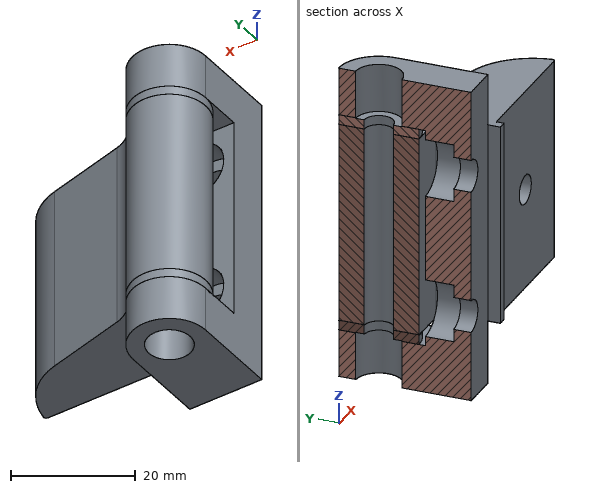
import cadquery as cq
import math


barrel_radius = 7.0
arm_bore_diameter = 8.0
pin_bore_diameter = 5.0

housing_height = 55.0
housing_front = -16.0
slot_height = 38.2
slot_floor = -8.1
mount_hole_diameter = 5.6
mount_hole_spacing = 24.95
mount_head_diameter = 10.0
mount_head_seat = 3.0

leaf_height = 35.0
leaf_reach = 35.1
leg_left = 8.95
lip_width = 1.55
lip_front = -17.3
neck_fillet = 2.0
wing_slope = math.radians(15)
wing_line_offset = 1.65
wing_hollow_radius = 7.0
wing_nose_radius = 12.45
nose_edge_fillet = 0.5
leaf_hole_x = 22.5
leaf_hole_diameter = 5.0
leaf_hole_depth = 8.0
drill_tip_angle = math.radians(118)

washer_thickness = (slot_height - leaf_height) / 2


def cylinder(diameter, height):
    """Cylinder on the hinge axis, centred on Z = 0."""
    return cq.Workplane("XY").workplane(offset=-height / 2).circle(diameter / 2).extrude(height)


def on_slope(along, above_axis):
    """Point at a distance along the slope and a distance normal to it, from the hinge axis."""
    return (
        along * math.cos(wing_slope) + above_axis * math.sin(wing_slope),
        -along * math.sin(wing_slope) + above_axis * math.cos(wing_slope),
    )


def arc_middle(center, radius, start, end):
    """Middle point of the shorter arc between two points on a circle."""
    dx = (start[0] + end[0]) / 2 - center[0]
    dy = (start[1] + end[1]) / 2 - center[1]
    scale = radius / math.hypot(dx, dy)
    return (center[0] + dx * scale, center[1] + dy * scale)


def mount_cylinders(diameter, depth):
    """Cylinders at both mounting holes, running toward -Y from the slot floor."""
    return (
        cq.Workplane("XZ", origin=(0, slot_floor, 0))
        .pushPoints([(0, -mount_hole_spacing / 2), (0, mount_hole_spacing / 2)])
        .circle(diameter / 2)
        .extrude(depth)
    )


def make_housing():
    body = (
        cq.Workplane("XY")
        .moveTo(-barrel_radius, housing_front)
        .lineTo(barrel_radius, housing_front)
        .lineTo(barrel_radius, 0)
        .threePointArc((0, barrel_radius), (-barrel_radius, 0))
        .close()
        .extrude(housing_height / 2, both=True)
    )
    slot_depth = barrel_radius - slot_floor
    slot = (
        cq.Workplane("XY")
        .box(2 * barrel_radius, slot_depth, slot_height)
        .translate((0, slot_floor + slot_depth / 2, 0))
    )
    wall_thickness = slot_floor - housing_front
    mount_holes = mount_cylinders(mount_hole_diameter, wall_thickness)
    head_recesses = mount_cylinders(mount_head_diameter, wall_thickness - mount_head_seat)
    body = body.cut(slot).cut(mount_holes).cut(head_recesses)
    return body.cut(cylinder(arm_bore_diameter, housing_height))


def make_wing():
    hollow_above = wing_line_offset + wing_hollow_radius
    center_distance = barrel_radius + wing_hollow_radius
    hollow_along = math.sqrt(center_distance**2 - hollow_above**2)
    hollow_center = on_slope(hollow_along, hollow_above)
    barrel_share = barrel_radius / center_distance
    hollow_start = (hollow_center[0] * barrel_share, hollow_center[1] * barrel_share)
    hollow_end = on_slope(hollow_along, wing_line_offset)
    hollow_middle = arc_middle(hollow_center, wing_hollow_radius, hollow_start, hollow_end)

    nose_above = wing_line_offset - wing_nose_radius
    nose_center_x = leaf_reach - wing_nose_radius
    nose_along = (nose_center_x - nose_above * math.sin(wing_slope)) / math.cos(wing_slope)
    nose_center = on_slope(nose_along, nose_above)
    nose_start = on_slope(nose_along, wing_line_offset)
    nose_rise = housing_front - nose_center[1]
    nose_end = (nose_center_x + math.sqrt(wing_nose_radius**2 - nose_rise**2), housing_front)
    nose_middle = arc_middle(nose_center, wing_nose_radius, nose_start, nose_end)

    neck_center = (leg_left - neck_fillet, -barrel_radius - neck_fillet)
    neck_start = (leg_left, neck_center[1])
    neck_end = (neck_center[0], -barrel_radius)
    neck_middle = arc_middle(neck_center, neck_fillet, neck_start, neck_end)

    wing = (
        cq.Workplane("XY")
        .moveTo(0, 0)
        .lineTo(*hollow_start)
        .threePointArc(hollow_middle, hollow_end)
        .lineTo(*nose_start)
        .threePointArc(nose_middle, nose_end)
        .lineTo(leg_left + lip_width, housing_front)
        .lineTo(leg_left + lip_width, lip_front)
        .lineTo(leg_left, lip_front)
        .lineTo(*neck_start)
        .threePointArc(neck_middle, neck_end)
        .lineTo(0, -barrel_radius)
        .close()
        .extrude(leaf_height / 2, both=True)
    )
    return wing.edges("|Z and >X").fillet(nose_edge_fillet)


def make_leaf_hole():
    """Blind drilled hole with a conical end, running in from the front face."""
    radius = leaf_hole_diameter / 2
    tip_depth = leaf_hole_depth + radius / math.tan(drill_tip_angle / 2)
    half_section = [(0, 0), (radius, 0), (radius, leaf_hole_depth), (0, tip_depth)]
    return (
        cq.Workplane("XY")
        .polyline(half_section)
        .close()
        .revolve(360, (0, 0, 0), (0, 1, 0))
        .translate((leaf_hole_x, housing_front, 0))
    )


def make_leaf():
    barrel = cylinder(2 * barrel_radius, leaf_height)
    body = barrel.union(make_wing())
    return body.cut(cylinder(pin_bore_diameter, leaf_height)).cut(make_leaf_hole())


def make_washer(center_z):
    ring = cylinder(2 * barrel_radius, washer_thickness)
    return ring.cut(cylinder(pin_bore_diameter, washer_thickness)).translate((0, 0, center_z))


housing = make_housing()
leaf = make_leaf()
washer_center = (leaf_height + washer_thickness) / 2
washers = [make_washer(side * washer_center) for side in (-1, 1)]

result = cq.Compound.makeCompound(
    [housing.val(), leaf.val(), *[washer.val() for washer in washers]]
)